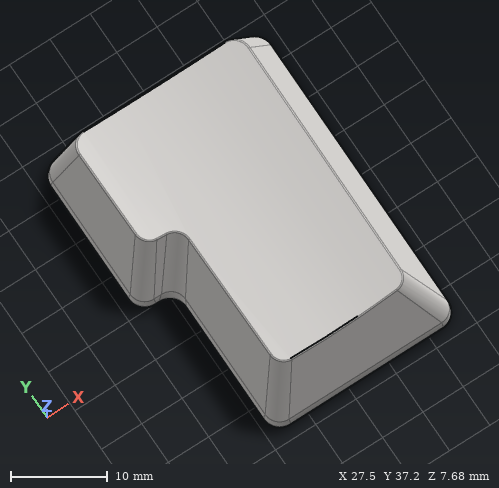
import cadquery as cq
import math

WIDTH = 27.45
LENGTH = 37.2
STEP_X = 4.5
STEP_Y = 18.55

BASE_CORNER_RADIUS = 2.0
BEND_CORNER_RADIUS = 1.8
TOP_CORNER_RADIUS = 1.6

RIM_HEIGHT = 0.55
BEND_TOP = 1.38
LOFT_TOP = 8.2

SIDE_SLOPE = 0.51
FRONT_SLOPE = 0.64
BACK_SLOPE = 0.09

DISH_RADIUS = 102.7
DISH_X = WIDTH / 2
DISH_Y = 4.1
DISH_FLOOR = 7.2
DISH_TILT = 1.0
DISH_CUTTER_LENGTH = 3 * LENGTH

TOP_EDGE_RADIUS = 0.2


def section(height, run, radius):
    """Stepped outline at a height, every wall moved inward by its slope times the run.

    The back corners keep the base radius at every height.
    """
    side = SIDE_SLOPE * run
    front = FRONT_SLOPE * run
    back = BACK_SLOPE * run
    corners = [
        (STEP_X + side, front),
        (WIDTH - side, front),
        (WIDTH - side, LENGTH - back),
        (side, LENGTH - back),
        (side, STEP_Y + front),
        (STEP_X + side, STEP_Y + front),
    ]
    outline = cq.Workplane("XY").workplane(offset=height).polyline(corners).close().wire().val()
    middle_y = (LENGTH + STEP_Y) / 2
    front_corners = [corner for corner in outline.Vertices() if corner.Y < middle_y]
    outline = outline.fillet2D(radius, front_corners)
    back_corners = [corner for corner in outline.Vertices() if corner.Y > middle_y]
    return outline.fillet2D(BASE_CORNER_RADIUS, back_corners)


def make_body():
    bend = BEND_TOP - RIM_HEIGHT
    rim_outline = section(0, 0, BASE_CORNER_RADIUS)
    rim = cq.Solid.extrudeLinear(rim_outline, [], cq.Vector(0, 0, RIM_HEIGHT))

    bend_sections = [
        section(
            RIM_HEIGHT + part * bend,
            part**2 * bend / 2,
            BASE_CORNER_RADIUS + part**2 * (BEND_CORNER_RADIUS - BASE_CORNER_RADIUS),
        )
        for part in (0, 0.5, 1)
    ]
    bend_band = cq.Solid.makeLoft(bend_sections)

    walls = cq.Solid.makeLoft(
        [
            bend_sections[-1],
            section(LOFT_TOP, bend / 2 + LOFT_TOP - BEND_TOP, TOP_CORNER_RADIUS),
        ],
        True,
    )
    return cq.Workplane(rim).union(cq.Workplane(bend_band)).union(cq.Workplane(walls))


def make_dish_cutter():
    tilt = math.radians(DISH_TILT)
    axis = cq.Vector(0, -math.cos(tilt), math.sin(tilt))
    floor_point = cq.Vector(DISH_X, DISH_Y, DISH_FLOOR)
    axis_point = floor_point + cq.Vector(0, math.sin(tilt), math.cos(tilt)) * DISH_RADIUS
    start = axis_point - axis * (DISH_CUTTER_LENGTH / 2)
    return cq.Workplane(cq.Solid.makeCylinder(DISH_RADIUS, DISH_CUTTER_LENGTH, start, axis))


body = make_body().cut(make_dish_cutter())
result = body.faces(">Z").edges().fillet(TOP_EDGE_RADIUS)